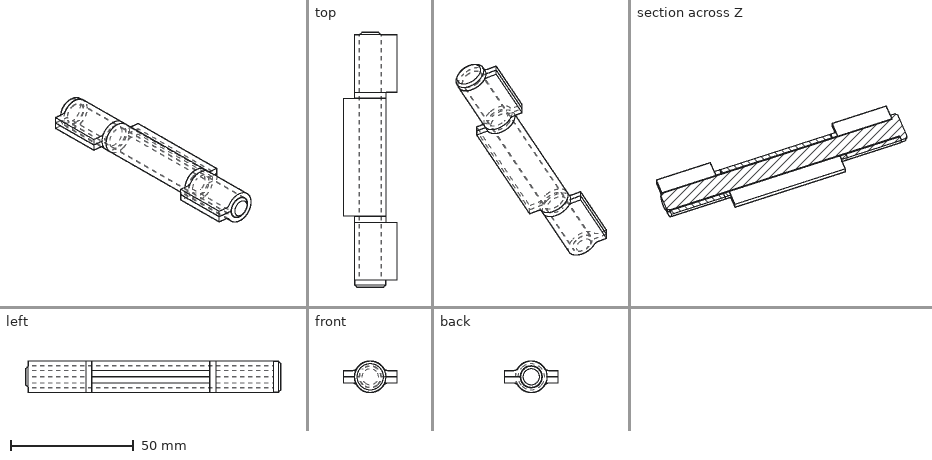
import cadquery as cq
import math

total_length = 104.0

knuckle_radius = 13.0 / 2
bore_radius = 9.0 / 2
leaf_reach = 11.0
flange_thickness = 2.5
slit_width = 0.1
leaf_thickness = 2 * flange_thickness + slit_width
leaf_fillet = 2.0
outer_knuckle_length = 23.5
middle_knuckle_length = 48.0

washer_radius = knuckle_radius
washer_thickness = 2.4
washer_gap = 0.1

pin_radius = 8.6 / 2
head_radius = 12.7 / 2
head_length = 3.0
pin_chamfer = 1.0

head_end = -total_length / 2
front_knuckle_start = head_end + head_length
front_washer_start = front_knuckle_start + outer_knuckle_length
middle_knuckle_start = front_washer_start + washer_thickness + washer_gap
back_washer_start = middle_knuckle_start + middle_knuckle_length + washer_gap
back_knuckle_start = back_washer_start + washer_thickness


def cross_section(y):
    """Plane facing +Y at the given station, with local x along +X and local y along -Z."""
    return cq.Workplane(cq.Plane(origin=(0, y, 0), xDir=(1, 0, 0), normal=(0, 1, 0)))


def make_pin():
    head = cross_section(head_end).circle(head_radius).extrude(head_length)
    head = head.faces("<Y").chamfer(pin_chamfer)
    shank_length = total_length - head_length
    shank = cross_section(front_knuckle_start).circle(pin_radius).extrude(shank_length)
    shank = shank.faces(">Y").chamfer(pin_chamfer)
    return head.union(shank)


def make_knuckle(start, length, side):
    """Knuckle whose leaf points to +X (side = 1) or -X (side = -1)."""
    half_leaf = leaf_thickness / 2
    fillet_centre_z = half_leaf + leaf_fillet
    fillet_centre_distance = knuckle_radius + leaf_fillet
    fillet_centre_x = math.sqrt(fillet_centre_distance**2 - fillet_centre_z**2)
    tangent_scale = knuckle_radius / fillet_centre_distance
    tangent_x = side * fillet_centre_x * tangent_scale
    tangent_z = fillet_centre_z * tangent_scale
    start_angle = math.atan2(-fillet_centre_z, -fillet_centre_x)
    middle_angle = (start_angle - math.pi / 2) / 2
    middle_x = side * (fillet_centre_x + leaf_fillet * math.cos(middle_angle))
    middle_z = fillet_centre_z + leaf_fillet * math.sin(middle_angle)
    leaf_root_x = side * fillet_centre_x
    leaf_tip_x = side * leaf_reach

    body = (
        cross_section(start)
        .moveTo(tangent_x, tangent_z)
        .threePointArc((middle_x, middle_z), (leaf_root_x, half_leaf))
        .lineTo(leaf_tip_x, half_leaf)
        .lineTo(leaf_tip_x, -half_leaf)
        .lineTo(leaf_root_x, -half_leaf)
        .threePointArc((middle_x, -middle_z), (tangent_x, -tangent_z))
        .threePointArc((-side * knuckle_radius, 0), (tangent_x, tangent_z))
        .close()
        .extrude(length)
    )
    bore = cross_section(start).circle(bore_radius).extrude(length)
    slit = cross_section(start).center(leaf_tip_x / 2, 0).rect(leaf_reach, slit_width).extrude(length)
    return body.cut(bore).cut(slit)


def make_washer(start):
    return cross_section(start).circle(washer_radius).circle(bore_radius).extrude(washer_thickness)


pin = make_pin()
middle_knuckle = make_knuckle(middle_knuckle_start, middle_knuckle_length, -1)
outer_knuckles = [
    make_knuckle(start, outer_knuckle_length, 1) for start in (front_knuckle_start, back_knuckle_start)
]
washers = [make_washer(start) for start in (front_washer_start, back_washer_start)]

bodies = [pin, middle_knuckle, *outer_knuckles, *washers]
result = cq.Compound.makeCompound([body.val() for body in bodies])